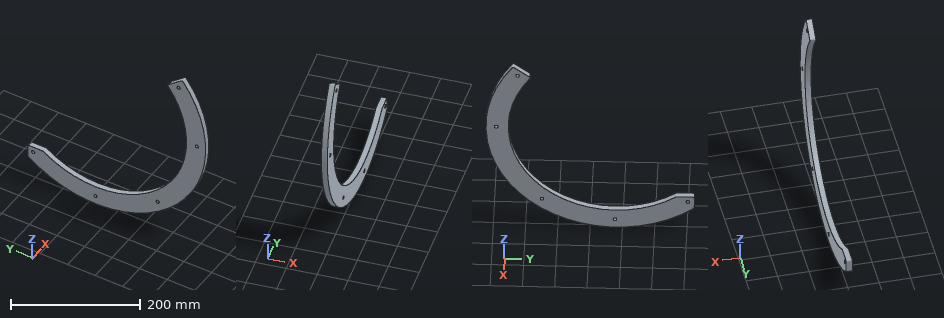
import cadquery as cq
import math

thickness = 10.0
outer_radius = 200.0
inner_radius = 165.0
hole_diameter = 5.3
corner_radius = 2.5

foot_side_y = 123.0
foot_top_z = -135.0
edge_margin = 10.0

tip_angle = 142.05

arc_middle_angle = -135.0


def polar(radius, angle):
    """Point (y, z) at a radius and angle about the ring centre."""
    return (radius * math.cos(math.radians(angle)), radius * math.sin(math.radians(angle)))


foot_outer = (foot_side_y, -math.sqrt(outer_radius**2 - foot_side_y**2))
foot_corner = (foot_side_y, foot_top_z)
foot_inner = (math.sqrt(inner_radius**2 - foot_top_z**2), foot_top_z)
tip_inner = polar(inner_radius, tip_angle)
tip_outer = polar(outer_radius, tip_angle)

foot_hole_y = foot_side_y - edge_margin
foot_hole_z = foot_top_z - edge_margin
bolt_circle_radius = math.hypot(foot_hole_y, foot_hole_z)
tip_hole_angle = tip_angle + math.degrees(math.asin(edge_margin / bolt_circle_radius))
hole_centres = (
    (foot_hole_y, foot_hole_z),
    (0.0, -bolt_circle_radius),
    (-foot_hole_y, foot_hole_z),
    (-bolt_circle_radius, 0.0),
    polar(bolt_circle_radius, tip_hole_angle),
)


def make_arc_plate():
    """Flat C-shaped plate, thickness along +X."""
    return (
        cq.Workplane("YZ")
        .moveTo(*foot_outer)
        .lineTo(*foot_corner)
        .lineTo(*foot_inner)
        .threePointArc(polar(inner_radius, arc_middle_angle), tip_inner)
        .lineTo(*tip_outer)
        .threePointArc(polar(outer_radius, arc_middle_angle), foot_outer)
        .close()
        .extrude(thickness)
    )


def round_corners(plate):
    """Round the five through-thickness edges at the foot and tip."""
    for y, z in (foot_outer, foot_corner, foot_inner, tip_inner, tip_outer):
        corner_edge = cq.selectors.NearestToPointSelector((thickness / 2, y, z))
        plate = plate.edges("|X").edges(corner_edge).fillet(corner_radius)
    return plate


def drill_holes(plate):
    """Cut the through holes along the arc."""
    holes = (
        cq.Workplane("YZ")
        .pushPoints(hole_centres)
        .circle(hole_diameter / 2)
        .extrude(thickness)
    )
    return plate.cut(holes)


result = drill_holes(round_corners(make_arc_plate()))